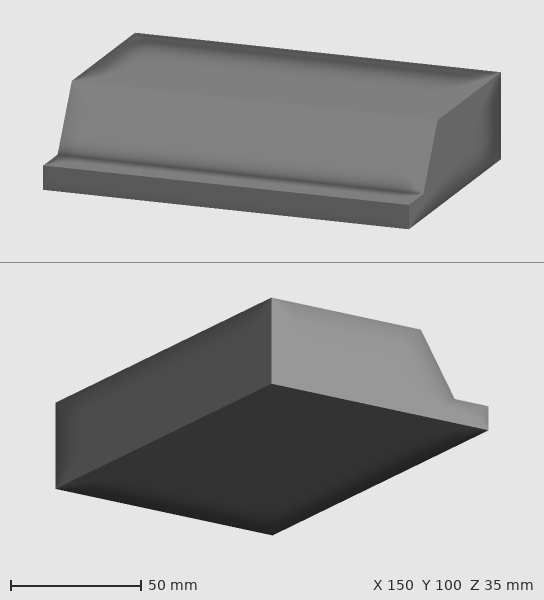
import cadquery as cq

length = 150.0
depth = 100.0
height = 35.0

lip_height = 9.8
lip_depth = 15.6
slope_depth = 15.6

front_y = -depth / 2
back_y = depth / 2
slope_foot_y = front_y + lip_depth
slope_top_y = slope_foot_y + slope_depth

profile = [
    (front_y, 0),
    (back_y, 0),
    (back_y, height),
    (slope_top_y, height),
    (slope_foot_y, lip_height),
    (front_y, lip_height),
]
result = cq.Workplane("YZ").polyline(profile).close().extrude(length / 2, both=True)